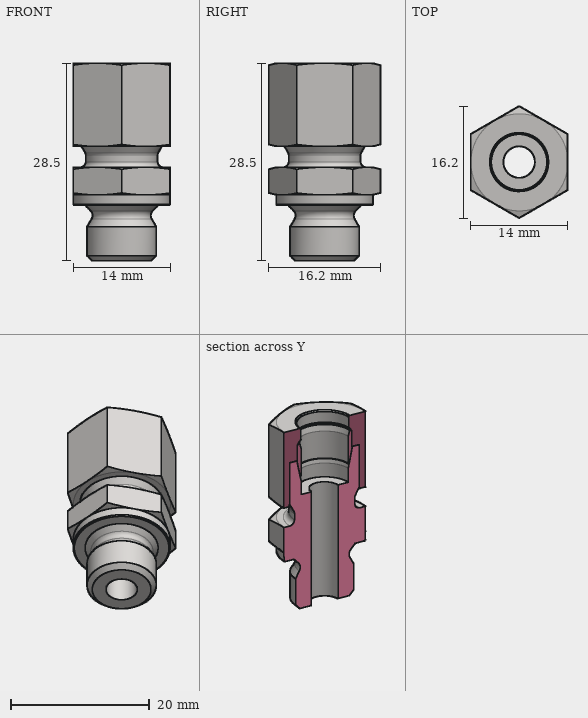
import cadquery as cq
import math

TOTAL_HEIGHT = 28.5
HEX_ACROSS_FLATS = 14.0
HEX_CHAMFER_ANGLE = math.radians(15)

BORE_DIAMETER = 4.5
STUD_DIAMETER = 10.0
STUD_CHAMFER = 0.77
STUD_TOP = 4.93
GROOVE_DIAMETER = 8.45
GROOVE_RADIUS = 1.0
GROOVE_LOWER_ANGLE = math.radians(30)
GROOVE_UPPER_ANGLE = math.radians(45)
FLANGE_BOTTOM = 8.0
FLANGE_CHAMFER = 0.17

BODY_HEX_BOTTOM = 9.52
BODY_HEX_TOP = 13.5

NECK_DIAMETER = 10.4
NECK_FILLET = 0.8
NECK_RUNOUT_RADIUS = 0.68
NECK_RUNOUT_START = 15.28
NECK_RUNOUT_ANGLE = math.radians(30)
THREAD_DIAMETER = 12.0
BODY_TOP = 23.5

TUBE_DIAMETER = 8.0
SOCKET_DEPTH = 5.5
CLAMP_ANGLE = math.radians(12)

RING_DIAMETER = 9.4
RING_TOP = 26.15
RING_TIP_THICKNESS = 0.15
RING_LEAD_IN_DEPTH = 0.88
RING_LEAD_IN_ANGLE = math.radians(15)

NUT_HEIGHT = 12.0
NUT_HOLE_DIAMETER = 8.1
NUT_HOLE_CHAMFER = 0.2
NUT_LIP_HEIGHT = 1.88

NUT_BOTTOM = TOTAL_HEIGHT - NUT_HEIGHT


def revolve(points):
    """Solid of revolution about Z from a closed (radius, height) polygon."""
    return cq.Workplane("XZ").polyline(points).close().revolve(360, (0, 0), (0, 1))


def chamfered_hexagon(bottom, top):
    """Hexagonal prism with corners on the Y axis and cone-chamfered ends."""
    flat_radius = HEX_ACROSS_FLATS / 2
    corner_radius = flat_radius / math.cos(math.pi / 6)
    prism = (
        cq.Workplane("XY", origin=(0, 0, bottom))
        .transformed(rotate=(0, 0, 90))
        .polygon(6, 2 * corner_radius)
        .extrude(top - bottom)
    )
    drop = (corner_radius - flat_radius) * math.tan(HEX_CHAMFER_ANGLE)
    envelope = revolve(
        [
            (0, bottom),
            (flat_radius, bottom),
            (corner_radius, bottom + drop),
            (corner_radius, top - drop),
            (flat_radius, top),
            (0, top),
        ]
    )
    return prism.intersect(envelope)


def arc_point(center, radius, angle):
    """Point on an arc that bulges toward the axis; angle 0 faces the axis."""
    return (center[0] - radius * math.cos(angle), center[1] + radius * math.sin(angle))


def make_screw_in_end():
    """Stud with an undercut groove, up to the top of the round flange."""
    stud_radius = STUD_DIAMETER / 2
    flange_radius = HEX_ACROSS_FLATS / 2
    center_radius = GROOVE_DIAMETER / 2 + GROOVE_RADIUS

    tangent_radius = center_radius - GROOVE_RADIUS * math.cos(GROOVE_LOWER_ANGLE)
    tangent_height = STUD_TOP + (stud_radius - tangent_radius) / math.tan(GROOVE_LOWER_ANGLE)
    center = (center_radius, tangent_height + GROOVE_RADIUS * math.sin(GROOVE_LOWER_ANGLE))
    lower_tangent = arc_point(center, GROOVE_RADIUS, -GROOVE_LOWER_ANGLE)
    upper_tangent = arc_point(center, GROOVE_RADIUS, GROOVE_UPPER_ANGLE)
    flank_rise = FLANGE_BOTTOM - upper_tangent[1]
    flank_end_radius = upper_tangent[0] + flank_rise * math.tan(GROOVE_UPPER_ANGLE)

    return (
        cq.Workplane("XZ")
        .moveTo(0, 0)
        .lineTo(stud_radius - STUD_CHAMFER, 0)
        .lineTo(stud_radius, STUD_CHAMFER)
        .lineTo(stud_radius, STUD_TOP)
        .lineTo(*lower_tangent)
        .threePointArc(arc_point(center, GROOVE_RADIUS, 0), upper_tangent)
        .lineTo(flank_end_radius, FLANGE_BOTTOM)
        .lineTo(flange_radius - FLANGE_CHAMFER, FLANGE_BOTTOM)
        .lineTo(flange_radius, FLANGE_BOTTOM + FLANGE_CHAMFER)
        .lineTo(flange_radius, BODY_HEX_BOTTOM)
        .lineTo(0, BODY_HEX_BOTTOM)
        .close()
        .revolve(360, (0, 0), (0, 1))
    )


def make_threaded_stem():
    """Filleted neck above the hexagon, widening to the threaded stem."""
    neck_radius = NECK_DIAMETER / 2
    thread_radius = THREAD_DIAMETER / 2
    fillet_center = (neck_radius + NECK_FILLET, BODY_HEX_TOP + NECK_FILLET)
    runout_center = (neck_radius + NECK_RUNOUT_RADIUS, NECK_RUNOUT_START)
    runout_end = arc_point(runout_center, NECK_RUNOUT_RADIUS, NECK_RUNOUT_ANGLE)
    cone_rise = (thread_radius - runout_end[0]) / math.tan(NECK_RUNOUT_ANGLE)
    return (
        cq.Workplane("XZ")
        .moveTo(0, BODY_HEX_TOP)
        .lineTo(fillet_center[0], BODY_HEX_TOP)
        .threePointArc(
            arc_point(fillet_center, NECK_FILLET, -math.pi / 4),
            arc_point(fillet_center, NECK_FILLET, 0),
        )
        .lineTo(neck_radius, NECK_RUNOUT_START)
        .threePointArc(
            arc_point(runout_center, NECK_RUNOUT_RADIUS, NECK_RUNOUT_ANGLE / 2),
            runout_end,
        )
        .lineTo(thread_radius, runout_end[1] + cone_rise)
        .lineTo(thread_radius, BODY_TOP)
        .lineTo(0, BODY_TOP)
        .close()
        .revolve(360, (0, 0), (0, 1))
    )


def make_body_cavity():
    """Through bore, tube socket and clamping cone of the body."""
    bore_radius = BORE_DIAMETER / 2
    tube_radius = TUBE_DIAMETER / 2
    mouth_radius = RING_DIAMETER / 2
    socket_bottom = BODY_TOP - SOCKET_DEPTH
    cone_bottom = BODY_TOP - (mouth_radius - tube_radius) / math.tan(CLAMP_ANGLE)
    return revolve(
        [
            (0, 0),
            (bore_radius, 0),
            (bore_radius, socket_bottom),
            (tube_radius, socket_bottom),
            (tube_radius, cone_bottom),
            (mouth_radius, BODY_TOP),
            (0, BODY_TOP),
        ]
    )


def make_body():
    hexagon = chamfered_hexagon(BODY_HEX_BOTTOM, BODY_HEX_TOP)
    solid = make_screw_in_end().union(hexagon).union(make_threaded_stem())
    return solid.cut(make_body_cavity())


def nut_seat_height(radius):
    """Height of the nut's 45 degree seat at the given radius."""
    lip_bottom = TOTAL_HEIGHT - NUT_LIP_HEIGHT
    return lip_bottom - (radius - NUT_HOLE_DIAMETER / 2)


def make_cutting_ring():
    """Ring held between the nut's seat and the body's clamping cone."""
    inner_radius = TUBE_DIAMETER / 2
    outer_radius = RING_DIAMETER / 2
    tip_radius = inner_radius + RING_TIP_THICKNESS
    tip_height = BODY_TOP - (outer_radius - tip_radius) / math.tan(CLAMP_ANGLE)
    lead_in_radius = inner_radius + RING_LEAD_IN_DEPTH * math.tan(RING_LEAD_IN_ANGLE)
    top_radius = outer_radius - (RING_TOP - nut_seat_height(outer_radius))
    return revolve(
        [
            (inner_radius, tip_height),
            (tip_radius, tip_height),
            (outer_radius, BODY_TOP),
            (outer_radius, nut_seat_height(outer_radius)),
            (top_radius, RING_TOP),
            (lead_in_radius, RING_TOP),
            (inner_radius, RING_TOP - RING_LEAD_IN_DEPTH),
        ]
    )


def make_nut_cavity():
    """Tube hole, seat, ring chamber and thread bore of the nut."""
    hole_radius = NUT_HOLE_DIAMETER / 2
    ring_radius = RING_DIAMETER / 2
    thread_radius = THREAD_DIAMETER / 2
    return revolve(
        [
            (0, NUT_BOTTOM),
            (thread_radius, NUT_BOTTOM),
            (thread_radius, BODY_TOP),
            (ring_radius, BODY_TOP),
            (ring_radius, nut_seat_height(ring_radius)),
            (hole_radius, nut_seat_height(hole_radius)),
            (hole_radius, TOTAL_HEIGHT - NUT_HOLE_CHAMFER),
            (hole_radius + NUT_HOLE_CHAMFER, TOTAL_HEIGHT),
            (0, TOTAL_HEIGHT),
        ]
    )


def make_nut():
    return chamfered_hexagon(NUT_BOTTOM, TOTAL_HEIGHT).cut(make_nut_cavity())


body = make_body()
cutting_ring = make_cutting_ring()
nut = make_nut()

result = cq.Compound.makeCompound([body.val(), cutting_ring.val(), nut.val()])